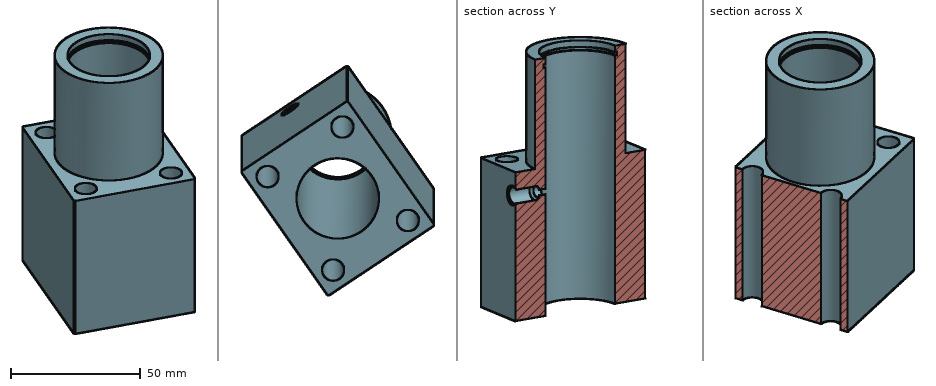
import cadquery as cq

LENGTH = 60.0
WIDTH = 50.0
BLOCK_HEIGHT = 60.0
TOTAL_HEIGHT = 104.0
EDGE_CHAMFER = 0.5

TUBE_DIAMETER = 42.0
BORE_DIAMETER = 31.9
GROOVE_DIAMETER = 33.7
GROOVE_BELOW_TOP = 2.7
GROOVE_WIDTH = 1.4

BOLT_DIAMETER = 8.5
BOLT_SPACING_X = 45.0
BOLT_SPACING_Y = 35.0

PORT_Y = 2.0
PORT_BELOW_TOP = 9.9
PORT_MOUTH_DIAMETER = 7.9
PORT_DIAMETER = 6.7
PORT_DEPTH = 10.0
PORT_PASSAGE_DIAMETER = 4.5


def make_body():
    block = cq.Workplane("XY").box(LENGTH, WIDTH, BLOCK_HEIGHT, centered=(True, True, False))
    block = block.edges("|Z").chamfer(EDGE_CHAMFER)
    tube = cq.Workplane("XY").circle(TUBE_DIAMETER / 2).extrude(TOTAL_HEIGHT)
    return block.union(tube)


def make_bore():
    bore = cq.Workplane("XY").circle(BORE_DIAMETER / 2).extrude(TOTAL_HEIGHT)
    groove_bottom = TOTAL_HEIGHT - GROOVE_BELOW_TOP - GROOVE_WIDTH
    groove = (
        cq.Workplane("XY", origin=(0, 0, groove_bottom))
        .circle(GROOVE_DIAMETER / 2)
        .extrude(GROOVE_WIDTH)
    )
    return bore.union(groove)


def make_bolt_holes():
    return (
        cq.Workplane("XY")
        .rect(BOLT_SPACING_X, BOLT_SPACING_Y, forConstruction=True)
        .vertices()
        .circle(BOLT_DIAMETER / 2)
        .extrude(BLOCK_HEIGHT)
    )


def make_port():
    mouth_radius = PORT_MOUTH_DIAMETER / 2
    radius = PORT_DIAMETER / 2
    passage_radius = PORT_PASSAGE_DIAMETER / 2
    mouth_depth = mouth_radius - radius
    cone_end = PORT_DEPTH + radius - passage_radius
    profile = [
        (0, 0),
        (0, mouth_radius),
        (mouth_depth, radius),
        (PORT_DEPTH, radius),
        (cone_end, passage_radius),
        (LENGTH / 2, passage_radius),
        (LENGTH / 2, 0),
    ]
    face_point = (-LENGTH / 2, PORT_Y, BLOCK_HEIGHT - PORT_BELOW_TOP)
    return cq.Workplane("XY", origin=face_point).polyline(profile).close().revolve(360, (0, 0), (1, 0))


result = make_body().cut(make_bore()).cut(make_bolt_holes()).cut(make_port())